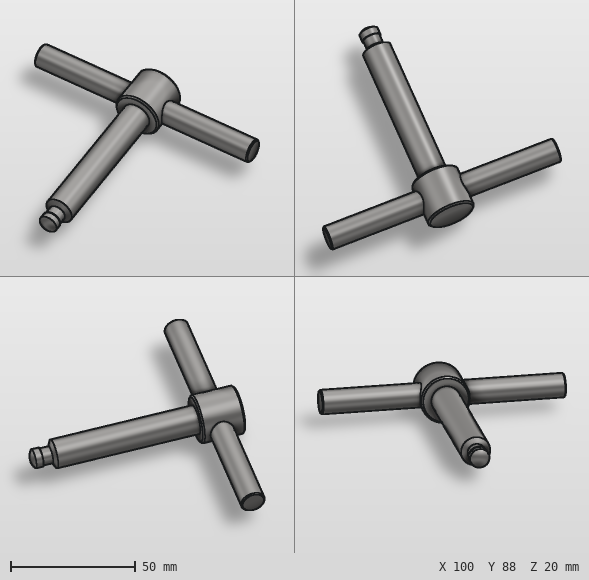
import cadquery as cq
import math

bar_length = 100.0
bar_diameter = 10.0
bar_chamfer = 0.5

head_diameter = 20.0
head_length = 18.0
head_back = 10.0
head_chamfer = 0.7

overall_length = 88.0
shank_radius = 6.0
shank_straight_length = 60.0
shank_taper_angle = 30.0
neck_radius = 3.6
tip_radius = 4.0
tip_length = 4.5
dome_height = 1.5

head_front = head_back - head_length
taper_start = head_front - shank_straight_length
taper_length = (shank_radius - neck_radius) * math.tan(math.radians(shank_taper_angle))
taper_end = taper_start - taper_length
tip_end = head_back - overall_length
tip_start = tip_end + tip_length
dome_start = tip_end + dome_height

dome_sphere_radius = (tip_radius**2 + dome_height**2) / (2 * dome_height)
dome_mid_x = tip_radius / 2
dome_mid_y = tip_end + dome_sphere_radius - math.sqrt(dome_sphere_radius**2 - dome_mid_x**2)


def make_head():
    """Cylindrical head with both rims chamfered."""
    head = cq.Workplane("XZ", origin=(0, head_back, 0)).circle(head_diameter / 2).extrude(head_length)
    return head.edges().chamfer(head_chamfer)


def make_screw():
    """Shank tapering to the neck, then the domed tip, turned about the Y axis."""
    profile = (
        cq.Workplane("XY")
        .moveTo(0, 0)
        .lineTo(shank_radius, 0)
        .lineTo(shank_radius, taper_start)
        .lineTo(neck_radius, taper_end)
        .lineTo(neck_radius, tip_start)
        .lineTo(tip_radius, tip_start)
        .lineTo(tip_radius, dome_start)
        .threePointArc((dome_mid_x, dome_mid_y), (0, tip_end))
        .close()
    )
    return profile.revolve(360, (0, 0, 0), (0, 1, 0))


def make_cross_bar():
    """Round bar with chamfered ends, centred in the head."""
    bar = cq.Workplane("YZ").circle(bar_diameter / 2).extrude(bar_length / 2, both=True)
    return bar.faces("<X or >X").chamfer(bar_chamfer)


result = make_head().union(make_screw()).union(make_cross_bar())